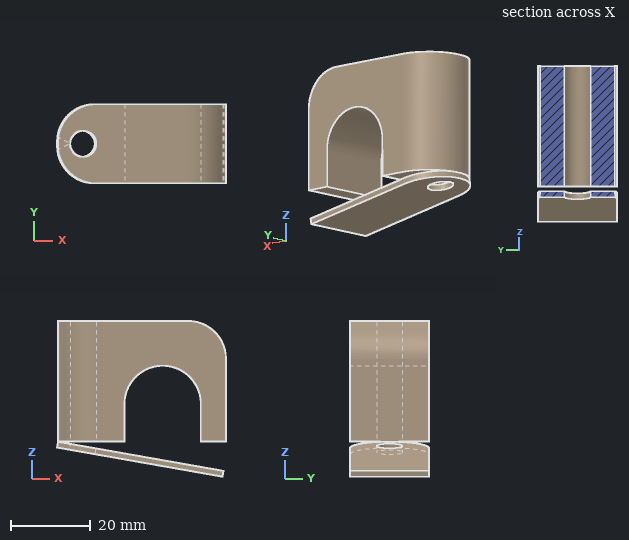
import cadquery as cq
import math

overall_length = 42.35
width = 19.85
body_height = 30.25
round_radius = 9.53
far_leg_thickness = 6.35
saddle_top_height = 18.95
hole_diameter = 6.48
hole_center_x = 6.35
plate_thickness = 1.52
plate_angle = 10.0
hinge_overlap = 0.01

plate_overhang = plate_thickness * math.sin(math.radians(plate_angle))
body_length = overall_length - plate_overhang
saddle_center_x = body_length - far_leg_thickness - round_radius
saddle_center_z = saddle_top_height - round_radius


def round_ended_slab(thickness):
    """Slab standing on Z = 0 with a rounded end at X = 0 and a vertical hole."""
    slab = (
        cq.Workplane("XY")
        .box(body_length, width, thickness, centered=(False, True, False))
        .edges("|Z and <X")
        .fillet(round_radius)
    )
    hole = (
        cq.Workplane("XY")
        .center(hole_center_x, 0)
        .circle(hole_diameter / 2)
        .extrude(thickness)
    )
    return slab.cut(hole)


def saddle_opening():
    """Arched opening through the width, open at the bottom."""
    return (
        cq.Workplane("XZ")
        .moveTo(saddle_center_x - round_radius, 0)
        .lineTo(saddle_center_x - round_radius, saddle_center_z)
        .threePointArc(
            (saddle_center_x, saddle_top_height),
            (saddle_center_x + round_radius, saddle_center_z),
        )
        .lineTo(saddle_center_x + round_radius, 0)
        .close()
        .extrude(width / 2, both=True)
    )


body = round_ended_slab(body_height).edges("|Y and >X and >Z").fillet(round_radius)
body = body.cut(saddle_opening())

plate = (
    round_ended_slab(plate_thickness)
    .translate((0, 0, -plate_thickness))
    .rotate((0, 0, 0), (0, 1, 0), plate_angle)
    .translate((0, 0, hinge_overlap))
)

result = body.union(plate)